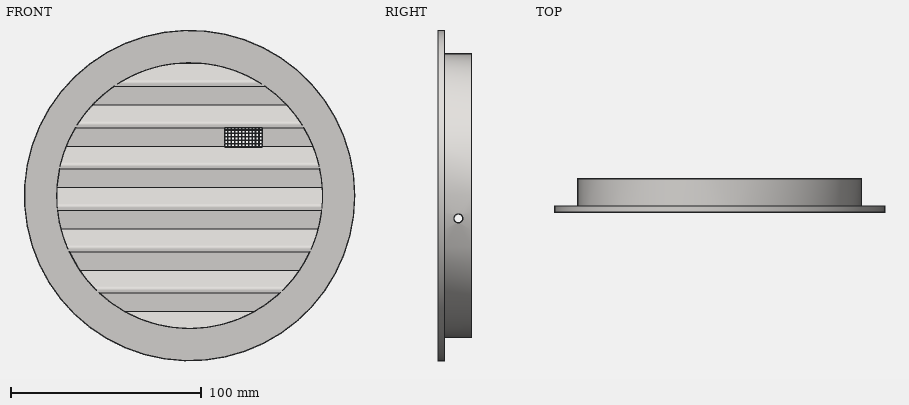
import cadquery as cq
import math

FLANGE_RADIUS = 86.5
FLANGE_THICKNESS = 3.5
SPIGOT_RADIUS = 74.4
BORE_RADIUS = 69.5
DEPTH = 17.6
FRONT_Y = -DEPTH / 2
BACK_Y = DEPTH / 2

SCREW_HOLE_DIAMETER = 4.5
SCREW_HOLE_FROM_BACK = 7.0
SCREW_HOLE_Z = -12.0

SLAT_COUNT = 7
SLAT_PITCH = 21.6
SLAT_ANGLE = 34.0
SLAT_FRONT_HEIGHT = 2.6
SLAT_NOSE_RADIUS = 2.2
MIDDLE_SLAT_BOTTOM_Z = -7.8

SCREEN_THICKNESS = 1.0
SCREEN_RECESS = 2.8
SCREEN_BACK_Y = BACK_Y - SCREEN_RECESS
SCREEN_FRONT_Y = SCREEN_BACK_Y - SCREEN_THICKNESS
GRID_COUNT = 11
GRID_SIZE = 19.5
GRID_CENTRE_X = 28.2
GRID_CENTRE_Z = 28.0
OPENING_SIZE = 1.49
OPENING_PITCH = (GRID_SIZE - OPENING_SIZE) / (GRID_COUNT - 1)


def disc(radius, front_y, back_y):
    """A round disc about the Y axis between two Y positions."""
    axis_plane = cq.Workplane("XZ", origin=(0, front_y, 0))
    return axis_plane.circle(radius).extrude(front_y - back_y)


def slat(bottom_z):
    """One full-width slat with a rounded upper front edge; bottom_z is its lower front edge."""
    rise = (SCREEN_FRONT_Y - FRONT_Y) * math.tan(math.radians(SLAT_ANGLE))
    top_z = bottom_z + SLAT_FRONT_HEIGHT
    bar = (
        cq.Workplane("YZ", origin=(-BORE_RADIUS, 0, 0))
        .moveTo(FRONT_Y, bottom_z)
        .lineTo(SCREEN_FRONT_Y, bottom_z + rise)
        .lineTo(SCREEN_FRONT_Y, top_z + rise)
        .lineTo(FRONT_Y, top_z)
        .close()
        .extrude(2 * BORE_RADIUS)
    )
    nose = cq.selectors.NearestToPointSelector((0, FRONT_Y, top_z))
    return bar.edges(nose).fillet(SLAT_NOSE_RADIUS)


def make_housing():
    flange = disc(FLANGE_RADIUS, FRONT_Y, FRONT_Y + FLANGE_THICKNESS)
    spigot = disc(SPIGOT_RADIUS, FRONT_Y, BACK_Y)
    bore = disc(BORE_RADIUS, FRONT_Y, BACK_Y)
    screw_hole = (
        cq.Workplane("YZ", origin=(-FLANGE_RADIUS, BACK_Y - SCREW_HOLE_FROM_BACK, SCREW_HOLE_Z))
        .circle(SCREW_HOLE_DIAMETER / 2)
        .extrude(2 * FLANGE_RADIUS)
    )
    housing = flange.union(spigot).cut(bore).cut(screw_hole)
    middle_index = (SLAT_COUNT - 1) / 2
    for index in range(SLAT_COUNT):
        bottom_z = MIDDLE_SLAT_BOTTOM_Z + (middle_index - index) * SLAT_PITCH
        housing = housing.union(slat(bottom_z).intersect(bore))
    return housing


def make_screen():
    openings = (
        cq.Workplane("XZ", origin=(GRID_CENTRE_X, SCREEN_FRONT_Y, GRID_CENTRE_Z))
        .rarray(OPENING_PITCH, OPENING_PITCH, GRID_COUNT, GRID_COUNT)
        .rect(OPENING_SIZE, OPENING_SIZE)
        .extrude(-SCREEN_THICKNESS)
    )
    return disc(BORE_RADIUS, SCREEN_FRONT_Y, SCREEN_BACK_Y).cut(openings)


housing = make_housing()
screen = make_screen()
result = cq.Compound.makeCompound([housing.val(), screen.val()])